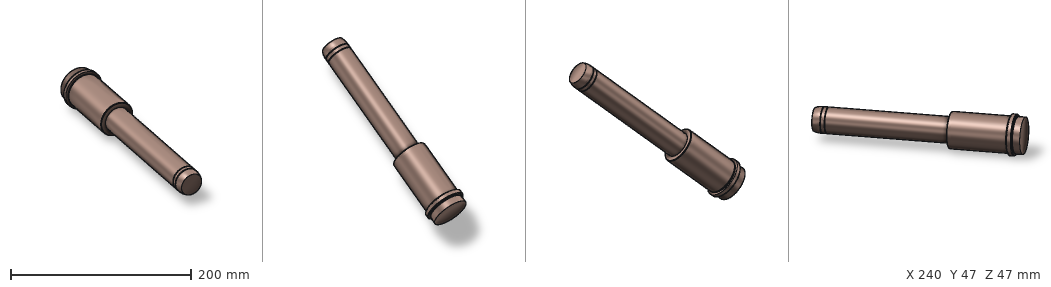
import cadquery as cq

total_length = 240.0

sleeve_radius = 42.0 / 2
sleeve_end = 84.0
collar_radius = 47.0 / 2
collar_start = 9.0
collar_end = 14.6
collar_chamfer = 1.0

undercut_depth = 0.5
front_undercut_width = 0.7
rear_undercut_width = 1.5

lead_length = 5.0
lead_depth = 0.1
edge_chamfer = 0.7

rod_radius = 30.0 / 2
nose_length = 7.2
nose_tip_radius = 13.2
nose_bulge = 0.4
groove_width = 0.7
groove_depth = 0.2
groove_centers = (225.0, 230.0)


def ring(start, width, outer_radius, depth):
    """Ring of material to cut from a shaft, leaving a groove of the given depth."""
    return (
        cq.Workplane("YZ", origin=(start, 0, 0))
        .circle(outer_radius + depth)
        .circle(outer_radius - depth)
        .extrude(width)
    )


def turned_body():
    """Sleeve, collar, rod and nose revolved from one half profile."""
    lead_radius = sleeve_radius - lead_depth
    nose_start = total_length - nose_length
    nose_middle = (
        total_length - nose_length / 2,
        (rod_radius + nose_tip_radius) / 2 + nose_bulge,
    )
    return (
        cq.Workplane("XY")
        .moveTo(0, 0)
        .lineTo(0, sleeve_radius)
        .lineTo(collar_start, sleeve_radius)
        .lineTo(collar_start, collar_radius - collar_chamfer)
        .lineTo(collar_start + collar_chamfer, collar_radius)
        .lineTo(collar_end, collar_radius)
        .lineTo(collar_end, sleeve_radius)
        .lineTo(sleeve_end - lead_length, sleeve_radius)
        .lineTo(sleeve_end - edge_chamfer, lead_radius)
        .lineTo(sleeve_end, lead_radius - edge_chamfer)
        .lineTo(sleeve_end, rod_radius)
        .lineTo(nose_start, rod_radius)
        .threePointArc(nose_middle, (total_length, nose_tip_radius))
        .lineTo(total_length, 0)
        .close()
        .revolve(360, (0, 0, 0), (1, 0, 0))
    )


result = turned_body()

front_undercut_start = collar_start - front_undercut_width
result = result.cut(ring(front_undercut_start, front_undercut_width, sleeve_radius, undercut_depth))
result = result.cut(ring(collar_end, rear_undercut_width, sleeve_radius, undercut_depth))

for center in groove_centers:
    result = result.cut(ring(center - groove_width / 2, groove_width, rod_radius, groove_depth))